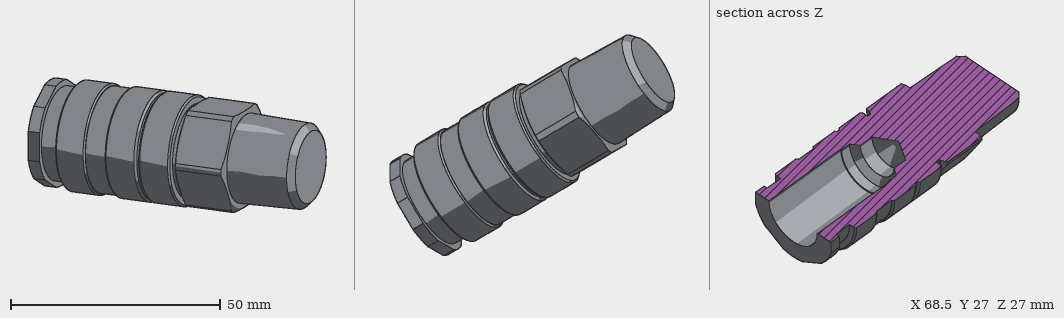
import cadquery as cq
import math

length = 68.5

flange_diameter = 26.0
flange_thickness = 3.0
flange_across_flats = 25.0

neck_diameter = 23.0
core_diameter = 25.9
band_diameter = 27.0
band_spans = ((7.5, 15.3), (20.5, 37.5))
band_chamfer = 0.4
groove_center = 29.0
groove_floor_width = 0.5
groove_depth = 0.55

hex_start = 38.5
hex_end = 51.45
hex_across_flats = 24.0
hex_corner_diameter = 26.8
hex_start_face_diameter = 23.5
hex_start_chamfer_length = 0.55
hex_end_face_diameter = 24.25
hex_end_chamfer_length = 0.4

taper_start_diameter = 21.8
taper_end_diameter = 20.8
end_chamfer = 1.6

bore_diameter = 16.0
bore_depth = 24.65
seat_diameter = 15.4
seat_depth = 27.4
pilot_diameter = 11.1
pilot_depth = 32.9
seat_half_angle = 55.0
drill_half_angle = 59.0


def revolve_profile(points):
    """Revolve a closed outline of (x, radius) points about X."""
    return cq.Workplane("XY").polyline(points).close().revolve(360, (0, 0, 0), (1, 0, 0))


def cylinder(start, end, diameter):
    return cq.Workplane("YZ", origin=(start, 0, 0)).circle(diameter / 2).extrude(end - start)


def hex_prism(start, end, across_flats, turn):
    """Hexagon along X; a turn of 0 puts two corners on the Y axis."""
    corner_diameter = across_flats / math.cos(math.pi / 6)
    prism = cq.Workplane("YZ", origin=(start, 0, 0)).polygon(6, corner_diameter).extrude(end - start)
    return prism.rotate((0, 0, 0), (1, 0, 0), turn)


def make_flange():
    disc = cylinder(0, flange_thickness, flange_diameter)
    return disc.intersect(hex_prism(0, flange_thickness, flange_across_flats, 30))


def make_groove():
    """Ring with 45 degree flanks that is cut out of the second band."""
    band_radius = band_diameter / 2
    floor_radius = band_radius - groove_depth
    half_floor = groove_floor_width / 2
    half_mouth = half_floor + groove_depth
    return revolve_profile([
        (groove_center - half_mouth, band_radius),
        (groove_center - half_floor, floor_radius),
        (groove_center + half_floor, floor_radius),
        (groove_center + half_mouth, band_radius),
    ])


def make_sleeve():
    first_band_start = band_spans[0][0]
    last_band_end = band_spans[-1][1]
    sleeve = cylinder(flange_thickness, hex_start, neck_diameter)
    core = cylinder(first_band_start + band_chamfer, last_band_end - band_chamfer, core_diameter)
    sleeve = sleeve.union(core)
    for start, end in band_spans:
        sleeve = sleeve.union(cylinder(start, end, band_diameter).edges().chamfer(band_chamfer))
    return sleeve.cut(make_groove())


def make_wrench_hex():
    start_face_radius = hex_start_face_diameter / 2
    end_face_radius = hex_end_face_diameter / 2
    corner_radius = hex_corner_diameter / 2
    envelope = revolve_profile([
        (hex_start, 0),
        (hex_start, start_face_radius),
        (hex_start + hex_start_chamfer_length, corner_radius),
        (hex_end - hex_end_chamfer_length, corner_radius),
        (hex_end, end_face_radius),
        (hex_end, 0),
    ])
    return hex_prism(hex_start, hex_end, hex_across_flats, 0).intersect(envelope)


def make_tapered_end():
    end_radius = taper_end_diameter / 2
    return revolve_profile([
        (hex_end, 0),
        (hex_end, taper_start_diameter / 2),
        (length - end_chamfer, end_radius),
        (length, end_radius - end_chamfer),
        (length, 0),
    ])


def make_socket():
    bore_radius = bore_diameter / 2
    seat_radius = seat_diameter / 2
    pilot_radius = pilot_diameter / 2
    seat_cone_length = (seat_radius - pilot_radius) / math.tan(math.radians(seat_half_angle))
    drill_tip_length = pilot_radius / math.tan(math.radians(drill_half_angle))
    return revolve_profile([
        (0, 0),
        (0, bore_radius),
        (bore_depth, bore_radius),
        (bore_depth, seat_radius),
        (seat_depth, seat_radius),
        (seat_depth + seat_cone_length, pilot_radius),
        (pilot_depth, pilot_radius),
        (pilot_depth + drill_tip_length, 0),
    ])


body = make_flange().union(make_sleeve()).union(make_wrench_hex()).union(make_tapered_end())
result = body.cut(make_socket())